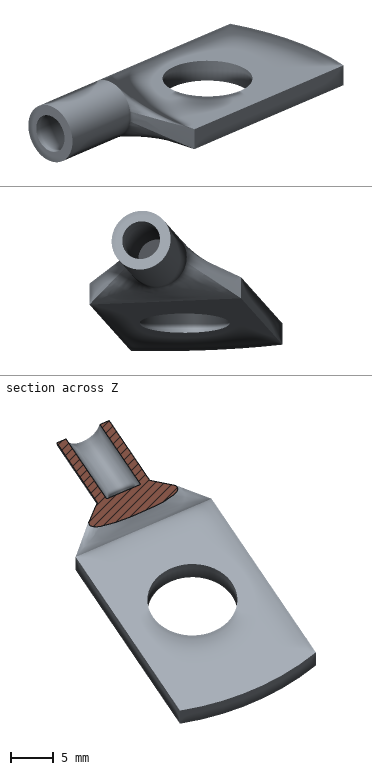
import cadquery as cq
import math

length = 42.0
width = 18.0
plate_thickness = 2.5

barrel_diameter = 7.0
bore_diameter = 4.5
barrel_length = 10.0
height = 7.6
barrel_axis_z = height - barrel_diameter / 2

neck_length = 5.0
flank_half_height = 0.65

plate_start = barrel_length + neck_length
shoulder_y = 40.65
hole_diameter = 10.5
hole_y = 27.0


def make_plate():
    """Flat palm with an arched far end and a stud hole."""
    half_width = width / 2
    return (
        cq.Workplane("XY")
        .moveTo(-half_width, plate_start)
        .lineTo(half_width, plate_start)
        .lineTo(half_width, shoulder_y)
        .threePointArc((0, length), (-half_width, shoulder_y))
        .close()
        .extrude(plate_thickness)
        .cut(cq.Workplane("XY").center(0, hole_y).circle(hole_diameter / 2).extrude(plate_thickness))
    )


def make_barrel():
    """Tube whose bore stops where the solid neck begins."""
    return (
        cq.Workplane("XZ", origin=(0, 0, barrel_axis_z))
        .circle(barrel_diameter / 2)
        .circle(bore_diameter / 2)
        .extrude(-barrel_length)
    )


def make_neck():
    """Solid transition from the rectangular plate section to the round barrel."""
    radius = barrel_diameter / 2
    flank_x = math.sqrt(radius**2 - flank_half_height**2)
    return (
        cq.Workplane("XZ", origin=(0, plate_start, 0))
        .moveTo(-width / 2, 0)
        .lineTo(width / 2, 0)
        .lineTo(width / 2, plate_thickness)
        .lineTo(-width / 2, plate_thickness)
        .close()
        .workplane(offset=neck_length, origin=(0, plate_start, barrel_axis_z))
        .moveTo(-flank_x, -flank_half_height)
        .threePointArc((0, -radius), (flank_x, -flank_half_height))
        .threePointArc((radius, 0), (flank_x, flank_half_height))
        .threePointArc((0, radius), (-flank_x, flank_half_height))
        .threePointArc((-radius, 0), (-flank_x, -flank_half_height))
        .close()
        .loft(ruled=True)
    )


result = make_plate().union(make_neck()).union(make_barrel())